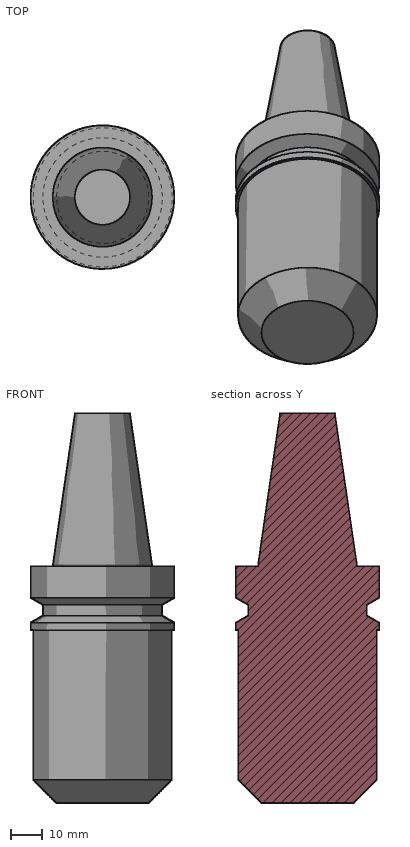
import cadquery as cq
import math


gauge_diameter = 31.75
taper_ratio = 7 / 24
taper_length = 48.4
gauge_band_height = 0.5

flange_diameter = 46.0
upper_rim_height = 10.1
groove_diameter = 38.20
groove_floor_height = 3.40
groove_wall_angle = 30.0
lower_rim_height = 2.40

body_diameter = 44.45
gauge_to_nose = 76.2
nose_diameter = 29.45
nose_cone_height = 7.5

gauge_radius = gauge_diameter / 2
shank_tip_radius = (gauge_diameter - taper_ratio * taper_length) / 2
flange_radius = flange_diameter / 2
groove_radius = groove_diameter / 2
body_radius = body_diameter / 2
nose_radius = nose_diameter / 2

groove_wall_height = (flange_radius - groove_radius) * math.tan(math.radians(groove_wall_angle))
z_tip = taper_length
z_gauge = 0.0
z_flange_top = z_gauge - gauge_band_height
z_groove_top = z_flange_top - upper_rim_height
z_floor_top = z_groove_top - groove_wall_height
z_floor_bottom = z_floor_top - groove_floor_height
z_groove_bottom = z_floor_bottom - groove_wall_height
z_flange_bottom = z_groove_bottom - lower_rim_height
z_nose = z_gauge - gauge_to_nose
z_cone_top = z_nose + nose_cone_height

half_section = [
    (0, z_tip),
    (shank_tip_radius, z_tip),
    (gauge_radius, z_gauge),
    (gauge_radius, z_flange_top),
    (flange_radius, z_flange_top),
    (flange_radius, z_groove_top),
    (groove_radius, z_floor_top),
    (groove_radius, z_floor_bottom),
    (flange_radius, z_groove_bottom),
    (flange_radius, z_flange_bottom),
    (body_radius, z_flange_bottom),
    (body_radius, z_cone_top),
    (nose_radius, z_nose),
    (0, z_nose),
]

result = (
    cq.Workplane("XZ")
    .polyline(half_section)
    .close()
    .revolve(360, (0, 0, 0), (0, 1, 0))
)